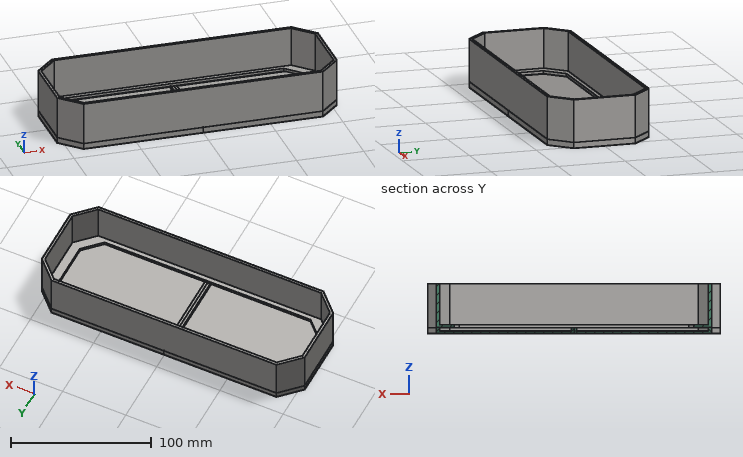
import cadquery as cq
import math

length = 208.0
width = 76.0
height = 35.5
corner_cut = 15.0

wall = 2.0
ledge_thickness = 2.0
ledge_end_inset = 9.4
ledge_side_inset = 5.6
opening_corner_cut = 13.0

tray_height = 4.4
tray_floor = 2.0
tray_wall = 2.0


def octagon_prism(size_x, size_y, cut, bottom, top):
    """Centred rectangular prism with its four upright edges cut at 45 degrees."""
    return (
        cq.Workplane("XY")
        .workplane(offset=bottom)
        .rect(size_x, size_y)
        .extrude(top - bottom)
        .edges("|Z")
        .chamfer(cut)
    )


def inset_corner_cut(inset):
    """Corner cut of the outer octagon after all eight sides move inward equally."""
    return corner_cut - inset * (2 - math.sqrt(2))


def half_block(side, start):
    """Block covering the tray height from X = side * start outward to the end."""
    reach = length / 2 - start
    return (
        cq.Workplane("XY")
        .center(side * (start + reach / 2), 0)
        .box(reach, width, tray_height, centered=(True, True, False))
    )


def make_frame():
    """Open-topped frame whose ledge surrounds the central opening."""
    ledge_top = tray_height + ledge_thickness
    outside = octagon_prism(length, width, corner_cut, tray_height, height)
    cavity = octagon_prism(
        length - 2 * wall,
        width - 2 * wall,
        inset_corner_cut(wall),
        ledge_top,
        height,
    )
    opening = octagon_prism(
        length - 2 * ledge_end_inset,
        width - 2 * ledge_side_inset,
        opening_corner_cut,
        tray_height,
        ledge_top,
    )
    return outside.cut(cavity).cut(opening)


def make_tray(side):
    """One pan on the given side of X = 0 (-1 or +1), with a rim of even thickness."""
    outside = octagon_prism(length, width, corner_cut, 0, tray_height)
    pocket = octagon_prism(
        length - 2 * tray_wall,
        width - 2 * tray_wall,
        inset_corner_cut(tray_wall),
        tray_floor,
        tray_height,
    )
    half = half_block(side, 0)
    pocket_half = half_block(side, tray_wall)
    return outside.intersect(half).cut(pocket.intersect(pocket_half))


frame = make_frame()
trays = [make_tray(side) for side in (-1, 1)]

result = cq.Compound.makeCompound([frame.val(), *[tray.val() for tray in trays]])